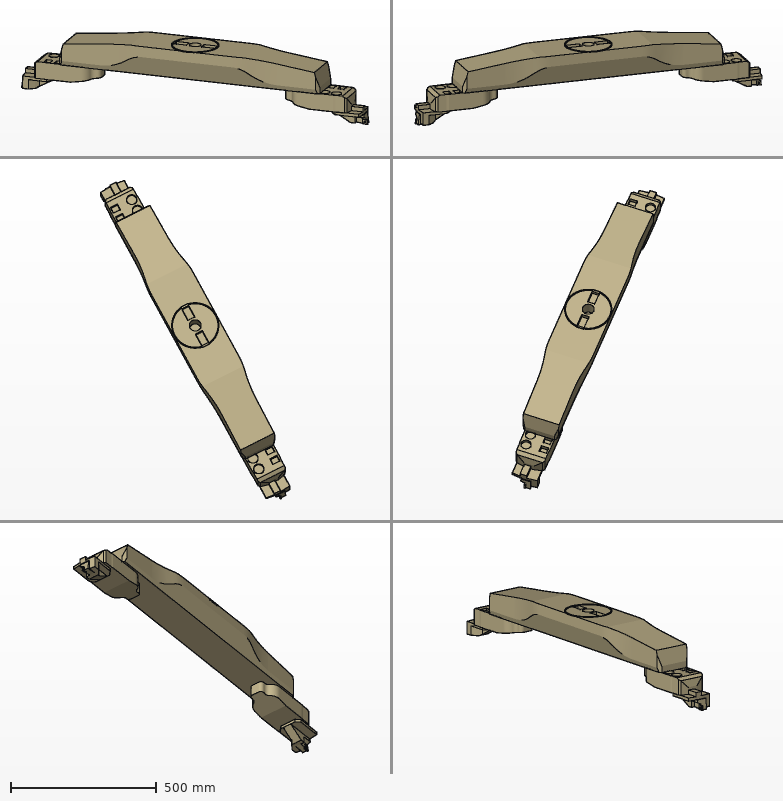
import cadquery as cq
import math

LENGTH = 1260.0
TIP_X = -LENGTH / 2

BRIDGE_HEIGHT = 107.0
MID_HALF_WIDTH = 82.0
END_HALF_WIDTH = 65.0
BASE_HALF_WIDTH = 60.0
BEVEL_HEIGHT = 68.0
BRIDGE_END_X = -476.0
END_FACE_BREAK_Z = 23.0
END_TOP_X = -460.0
END_TOP_Z = 78.0
RIDGE_X = -207.0
FLARE_START_X = -324.0
FLARE_MID_X = -222.0
FLARE_END_X = -169.0
END_CORNER_CHAMFER = 11.0

SEAT_DIAMETER = 163.0
SEAT_GROOVE_WIDTH = 3.1
SEAT_GROOVE_DEPTH = 3.0
BORE_DIAMETER = 40.0
BORE_DEPTH = 50.0
KEYWAY_WIDTH = 26.0
KEYWAY_INNER_X = 28.0
KEYWAY_OUTER_X = 74.0
KEYWAY_DEPTH = 15.0

SLIDE_HEIGHT = 60.0
SLIDE_HALF_WIDTH = 54.0
NECK_HALF_WIDTH = 53.0
NECK_START_X = -533.0
NECK_END_X = -525.0
SLIDE_CORNER_X = -566.0
SLIDE_FACE_X = -572.0
FACE_HALF_WIDTH = 47.0
NOSE_X = -578.0
NOSE_HALF_WIDTH = 19.0
NOSE_TOP_Z = -37.0
TOP_BEVEL_X = -558.0
TOP_BEVEL_DEPTH = 9.0
SHOULDER_X = -401.0
SHOULDER_MID_X = -370.0
TONGUE_X = -355.0
TONGUE_HALF_WIDTH = 26.0
TONGUE_ROUND = 13.0
SLIDE_INNER_X = -336.0
SLIDE_INNER_HEIGHT = 43.0
SLOPE_START_X = -437.0

COUNTERBORE_DIAMETER = 35.0
COUNTERBORE_DEPTH = 11.0
COUNTERBORE_Y = 30.0
COUNTERBORE_XS = (-528.0, -485.0)
WINDOW_LENGTH = 23.0
WINDOW_WIDTH = 26.0
WINDOW_DEPTH = 15.0
WINDOW_Y = -34.0
WINDOW_XS = (-525.0, -488.0)

PLATE_TOP_Z = -SLIDE_HEIGHT
PLATE_BOTTOM_Z = -72.0
PLATE_BACK_Y = -44.0
PLATE_FRONT_Y = 48.0
PLATE_END_X = -616.0
PLATE_INNER_X = -514.0
PLATE_CHAMFER = 15.0
RIB_TOP_Z = -45.0
RIB_BACK_Y = -6.0
RIB_FRONT_Y = 18.0
RIB_END_X = -620.0
BODY_BOTTOM_Z = -106.0
CHIP_SPACE_X = -590.0
BODY_TAPER_X = -595.0
BODY_STEP_X = -575.0
BODY_STEP_Y = -29.0
TAIL_X = -563.0
TAIL_Y = -19.0
BODY_SLOPE_X = -573.0
HEAD_BACK_Y = -23.0
HEAD_FRONT_Y = 14.0
HEAD_STEP_TOP_Z = -82.0
HEAD_STEP_BOTTOM_Z = -88.0
HEAD_TOP_X = -622.0
HEAD_NOSE_X = -627.0
HEAD_NOSE_Z = -110.0

TIP_Z = -111.0
INSERT_SIDE = 16.0
INSERT_POINT_ANGLE = 80.0
INSERT_CLEARANCE = 5.0
INSERT_THICKNESS = 5.0
SCREW_DIAMETER = 5.5


def box(x0, x1, y0, y1, z0, z1):
    return cq.Workplane("XY").box(x1 - x0, y1 - y0, z1 - z0, centered=False).translate((x0, y0, z0))


def extrude_along_y(points, y0, y1):
    """Prism of an X-Z outline between two Y positions."""
    return cq.Workplane("XZ", origin=(0, y0, 0)).polyline(points).close().extrude(y0 - y1)


def extrude_up(points, z0, z1):
    """Prism of an X-Y outline between two heights."""
    return cq.Workplane("XY", origin=(0, 0, z0)).polyline(points).close().extrude(z1 - z0)


def half_turn(shape):
    return shape.rotate((0, 0, 0), (0, 0, 1), 180)


def s_curve_middle(start, end, middle_x):
    """Point on the chord of an S-curve where its two arcs meet with one tangent."""
    share = (middle_x - start[0]) / (end[0] - start[0])
    return (middle_x, start[1] + share * (end[1] - start[1]))


def make_bridge():
    flare_start = (FLARE_START_X, END_HALF_WIDTH)
    flare_end = (FLARE_END_X, MID_HALF_WIDTH)
    flare_mid = s_curve_middle(flare_start, flare_end, FLARE_MID_X)
    plan = (
        cq.Workplane("XY")
        .moveTo(BRIDGE_END_X, 0)
        .lineTo(BRIDGE_END_X, END_HALF_WIDTH)
        .lineTo(*flare_start)
        .tangentArcPoint(flare_mid, relative=False)
        .tangentArcPoint(flare_end, relative=False)
        .lineTo(0, MID_HALF_WIDTH)
        .lineTo(0, 0)
        .close()
        .extrude(BRIDGE_HEIGHT)
    )
    side = plan.union(plan.mirror("YZ"))
    block = side.union(side.mirror("XZ"))

    left_profile = [
        (BRIDGE_END_X, 0),
        (BRIDGE_END_X, END_FACE_BREAK_Z),
        (END_TOP_X, END_TOP_Z),
        (RIDGE_X, BRIDGE_HEIGHT),
    ]
    profile = left_profile + [(-x, z) for x, z in reversed(left_profile)]
    bridge = block.intersect(extrude_along_y(profile, -MID_HALF_WIDTH, MID_HALF_WIDTH))

    cross_section = [
        (BASE_HALF_WIDTH, 0),
        (MID_HALF_WIDTH, BEVEL_HEIGHT),
        (MID_HALF_WIDTH, BRIDGE_HEIGHT),
        (-MID_HALF_WIDTH, BRIDGE_HEIGHT),
        (-MID_HALF_WIDTH, BEVEL_HEIGHT),
        (-BASE_HALF_WIDTH, 0),
    ]
    bevelled = cq.Workplane("YZ").polyline(cross_section).close().extrude(-BRIDGE_END_X, both=True)
    bridge = bridge.intersect(bevelled)

    for x_sign in (-1, 1):
        for y_sign in (-1, 1):
            corner_x = -x_sign * BRIDGE_END_X
            corner_y = y_sign * END_HALF_WIDTH
            corner = [
                (corner_x, corner_y),
                (corner_x - x_sign * END_CORNER_CHAMFER, corner_y),
                (corner_x, corner_y - y_sign * END_CORNER_CHAMFER),
            ]
            bridge = bridge.cut(extrude_up(corner, 0, BRIDGE_HEIGHT))
    return bridge.cut(seat_cutouts())


def seat_cutouts():
    """Ring groove, blind centre bore and the two keyways of the mounting seat."""
    seat_radius = SEAT_DIAMETER / 2
    groove_bottom = BRIDGE_HEIGHT - SEAT_GROOVE_DEPTH
    groove = (
        cq.Workplane("XY", origin=(0, 0, groove_bottom))
        .circle(seat_radius)
        .circle(seat_radius - SEAT_GROOVE_WIDTH)
        .extrude(SEAT_GROOVE_DEPTH)
    )
    bore = (
        cq.Workplane("XY", origin=(0, 0, BRIDGE_HEIGHT))
        .circle(BORE_DIAMETER / 2)
        .extrude(-BORE_DEPTH)
    )
    half_key = KEYWAY_WIDTH / 2
    keyway_bottom = BRIDGE_HEIGHT - KEYWAY_DEPTH
    keyway = box(KEYWAY_INNER_X, KEYWAY_OUTER_X, -half_key, half_key, keyway_bottom, BRIDGE_HEIGHT)
    run_out = box(KEYWAY_OUTER_X, seat_radius, -half_key, half_key, groove_bottom, BRIDGE_HEIGHT)
    key = keyway.union(run_out)
    return groove.union(bore).union(key).union(half_turn(key))


def make_slide():
    shoulder = (SHOULDER_X, SLIDE_HALF_WIDTH)
    tongue = (TONGUE_X, TONGUE_HALF_WIDTH)
    shoulder_mid = s_curve_middle(shoulder, tongue, SHOULDER_MID_X)
    half = (
        cq.Workplane("XY")
        .moveTo(NOSE_X, 0)
        .lineTo(NOSE_X, NOSE_HALF_WIDTH)
        .lineTo(SLIDE_FACE_X, FACE_HALF_WIDTH)
        .lineTo(SLIDE_CORNER_X, NECK_HALF_WIDTH)
        .lineTo(NECK_START_X, NECK_HALF_WIDTH)
        .lineTo(NECK_END_X, SLIDE_HALF_WIDTH)
        .lineTo(*shoulder)
        .tangentArcPoint(shoulder_mid, relative=False)
        .tangentArcPoint(tongue, relative=False)
        .lineTo(SLIDE_INNER_X - TONGUE_ROUND, TONGUE_HALF_WIDTH)
        .tangentArcPoint((SLIDE_INNER_X, TONGUE_HALF_WIDTH - TONGUE_ROUND), relative=False)
        .lineTo(SLIDE_INNER_X, 0)
        .close()
        .extrude(-SLIDE_HEIGHT)
    )
    plan = half.union(half.mirror("XZ"))
    profile = [
        (NOSE_X, -SLIDE_HEIGHT),
        (NOSE_X, NOSE_TOP_Z),
        (SLIDE_FACE_X, -TOP_BEVEL_DEPTH),
        (TOP_BEVEL_X, 0),
        (SLIDE_INNER_X, 0),
        (SLIDE_INNER_X, -SLIDE_INNER_HEIGHT),
        (SLOPE_START_X, -SLIDE_HEIGHT),
    ]
    slide = plan.intersect(extrude_along_y(profile, -SLIDE_HALF_WIDTH, SLIDE_HALF_WIDTH))

    counterbores = (
        cq.Workplane("XY")
        .pushPoints([(x, COUNTERBORE_Y) for x in COUNTERBORE_XS])
        .circle(COUNTERBORE_DIAMETER / 2)
        .extrude(-COUNTERBORE_DEPTH)
    )
    windows = (
        cq.Workplane("XY")
        .pushPoints([(x, WINDOW_Y) for x in WINDOW_XS])
        .rect(WINDOW_LENGTH, WINDOW_WIDTH)
        .extrude(-WINDOW_DEPTH)
    )
    return slide.cut(counterbores).cut(windows)


def make_cartridge():
    plate_outline = [
        (PLATE_END_X, PLATE_BACK_Y),
        (RIB_END_X, RIB_BACK_Y),
        (RIB_END_X, RIB_FRONT_Y),
        (PLATE_END_X, PLATE_FRONT_Y),
        (PLATE_INNER_X - PLATE_CHAMFER, PLATE_FRONT_Y),
        (PLATE_INNER_X, PLATE_FRONT_Y - PLATE_CHAMFER),
        (PLATE_INNER_X, PLATE_BACK_Y + PLATE_CHAMFER),
        (PLATE_INNER_X - PLATE_CHAMFER, PLATE_BACK_Y),
    ]
    plate = extrude_up(plate_outline, PLATE_BOTTOM_Z, PLATE_TOP_Z)
    rib = box(RIB_END_X, NOSE_X, RIB_BACK_Y, RIB_FRONT_Y, PLATE_BOTTOM_Z, RIB_TOP_Z)

    body_outline = [
        (PLATE_END_X, PLATE_BACK_Y),
        (RIB_END_X, RIB_BACK_Y),
        (RIB_END_X, 0),
        (CHIP_SPACE_X, 0),
        (CHIP_SPACE_X, HEAD_FRONT_Y),
        (PLATE_INNER_X, HEAD_FRONT_Y),
        (PLATE_INNER_X, TAIL_Y),
        (TAIL_X, TAIL_Y),
        (BODY_STEP_X, BODY_STEP_Y),
        (BODY_TAPER_X, PLATE_BACK_Y),
    ]
    wedge_profile = [
        (RIB_END_X, PLATE_BOTTOM_Z),
        (RIB_END_X, BODY_BOTTOM_Z),
        (BODY_SLOPE_X, BODY_BOTTOM_Z),
        (PLATE_INNER_X, PLATE_BOTTOM_Z),
    ]
    body = extrude_up(body_outline, BODY_BOTTOM_Z, PLATE_BOTTOM_Z).intersect(
        extrude_along_y(wedge_profile, PLATE_BACK_Y, HEAD_FRONT_Y)
    )

    head_profile = [
        (HEAD_TOP_X, PLATE_BOTTOM_Z),
        (HEAD_NOSE_X, HEAD_NOSE_Z),
        (CHIP_SPACE_X, BODY_BOTTOM_Z),
        (CHIP_SPACE_X, PLATE_BOTTOM_Z),
    ]
    head = extrude_along_y(head_profile, HEAD_BACK_Y, HEAD_FRONT_Y)
    clearance_section = [
        (0, TIP_Z),
        (0, HEAD_STEP_BOTTOM_Z),
        (HEAD_FRONT_Y, HEAD_STEP_TOP_Z),
        (HEAD_FRONT_Y, TIP_Z),
    ]
    rake_clearance = (
        cq.Workplane("YZ", origin=(TIP_X, 0, 0))
        .polyline(clearance_section)
        .close()
        .extrude(CHIP_SPACE_X - TIP_X)
    )
    head = head.cut(rake_clearance)
    return plate.union(rib).union(body).union(head).cut(insert_blank())


def insert_corners():
    """Corners of the rhombic insert in X-Z, starting at the cutting tip."""
    low = math.radians(INSERT_CLEARANCE)
    high = math.radians(INSERT_CLEARANCE + INSERT_POINT_ANGLE)
    low_x, low_z = INSERT_SIDE * math.cos(low), INSERT_SIDE * math.sin(low)
    high_x, high_z = INSERT_SIDE * math.cos(high), INSERT_SIDE * math.sin(high)
    return [
        (TIP_X, TIP_Z),
        (TIP_X + low_x, TIP_Z + low_z),
        (TIP_X + low_x + high_x, TIP_Z + low_z + high_z),
        (TIP_X + high_x, TIP_Z + high_z),
    ]


def insert_blank():
    return extrude_along_y(insert_corners(), -INSERT_THICKNESS, 0)


def make_screw():
    corners = insert_corners()
    center_x = (corners[0][0] + corners[2][0]) / 2
    center_z = (corners[0][1] + corners[2][1]) / 2
    return (
        cq.Workplane("XZ")
        .center(center_x, center_z)
        .circle(SCREW_DIAMETER / 2)
        .extrude(INSERT_THICKNESS)
    )


def make_insert():
    return insert_blank().cut(make_screw())


def both_ends(part):
    """The part at the -X end and its copy at the +X end, as separate solids."""
    return [placed.solids().val() for placed in (part, half_turn(part))]


bridge = make_bridge().solids().val()
slides = both_ends(make_slide())
cartridges = both_ends(make_cartridge())
inserts = both_ends(make_insert())
screws = both_ends(make_screw())

result = cq.Compound.makeCompound([bridge, *slides, *cartridges, *inserts, *screws])